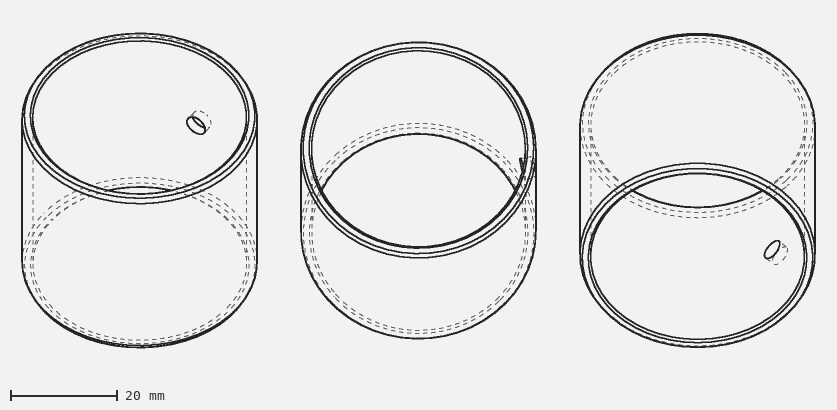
import cadquery as cq

outer_diameter = 44.0
inner_diameter = 40.0
height = 40.0

outer_chamfer_width = 0.45
outer_chamfer_height = 1.0
inner_chamfer = 0.45

oil_hole_diameter = 4.0

outer_radius = outer_diameter / 2
inner_radius = inner_diameter / 2


def bushing_sleeve():
    """Revolve the chamfered wall section about Z, base at Z = 0."""
    section = [
        (inner_radius + inner_chamfer, 0),
        (outer_radius - outer_chamfer_width, 0),
        (outer_radius, outer_chamfer_height),
        (outer_radius, height - outer_chamfer_height),
        (outer_radius - outer_chamfer_width, height),
        (inner_radius + inner_chamfer, height),
        (inner_radius, height - inner_chamfer),
        (inner_radius, inner_chamfer),
    ]
    return cq.Workplane("XZ").polyline(section).close().revolve(360, (0, 0), (0, 1))


def oil_hole():
    """Cylinder from the axis out past the +Y wall."""
    return (
        cq.Workplane("XZ")
        .center(0, height / 2)
        .circle(oil_hole_diameter / 2)
        .extrude(-outer_diameter)
    )


result = bushing_sleeve().cut(oil_hole())